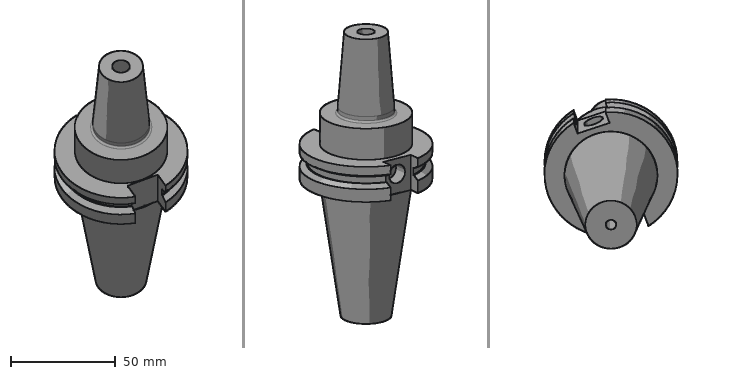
import cadquery as cq

taper_top = 68.5
flange_bottom = 69.5
flange_top = 87.4
shoulder_top = 103.3
collar_top = 106.3
overall_height = 144.5

taper_radius = 22.2
taper_ratio = 7 / 24
taper_end_radius = taper_radius - taper_top * taper_ratio / 2
neck_radius = 22.0

flange_radius = 31.8
groove_flank_radius = 28.6
groove_floor_radius = 28.0
groove_center = 79.5
groove_floor_width = 3.5
groove_mouth_width = 7.0

shoulder_radius = 22.1
collar_radius = 13.6
collar_fillet = 1.0
nose_end_radius = 10.5

tool_bore_radius = 4.2
tool_bore_depth = 36.1
coolant_bore_radius = 2.5

slot_width = 16.2
shallow_slot_floor = 25.0
deep_slot_floor = 22.5
pocket_diameter = 9.4
pocket_depth = 7.2


def make_body():
    """Revolve the outer profile about the Z axis."""
    half_floor = groove_floor_width / 2
    half_mouth = groove_mouth_width / 2
    profile = (
        cq.Workplane("XZ")
        .lineTo(taper_end_radius, 0)
        .lineTo(taper_radius, taper_top)
        .lineTo(neck_radius, flange_bottom)
        .lineTo(flange_radius, flange_bottom)
        .lineTo(flange_radius, groove_center - half_mouth)
        .lineTo(groove_flank_radius, groove_center - half_floor)
        .lineTo(groove_floor_radius, groove_center - half_floor)
        .lineTo(groove_floor_radius, groove_center + half_floor)
        .lineTo(groove_flank_radius, groove_center + half_floor)
        .lineTo(flange_radius, groove_center + half_mouth)
        .lineTo(flange_radius, flange_top)
        .lineTo(shoulder_radius, flange_top)
        .lineTo(shoulder_radius, shoulder_top)
        .lineTo(collar_radius + collar_fillet, shoulder_top)
        .radiusArc((collar_radius, shoulder_top + collar_fillet), collar_fillet)
        .lineTo(collar_radius, collar_top)
        .lineTo(nose_end_radius, overall_height)
        .lineTo(0, overall_height)
        .close()
    )
    return profile.revolve(360, (0, 0, 0), (0, 1, 0))


def make_bore():
    """Tool bore from the nose, continued by a narrower coolant hole."""
    coolant = cq.Workplane("XY").circle(coolant_bore_radius).extrude(overall_height)
    tool = (
        cq.Workplane("XY", origin=(0, 0, overall_height))
        .circle(tool_bore_radius)
        .extrude(-tool_bore_depth)
    )
    return coolant.union(tool)


def make_slot(floor, side):
    """Drive slot over the full flange height; side is -1 or +1 along X."""
    length = flange_radius
    return cq.Workplane("XY", origin=(side * (floor + length / 2), 0, flange_bottom)).box(
        length, slot_width, flange_top - flange_bottom, centered=(True, True, False)
    )


def make_pocket():
    """Blind round pocket in the floor of the shallow slot."""
    return (
        cq.Workplane("YZ", origin=(-shallow_slot_floor, 0, groove_center))
        .circle(pocket_diameter / 2)
        .extrude(pocket_depth)
    )


result = (
    make_body()
    .cut(make_bore())
    .cut(make_slot(shallow_slot_floor, -1))
    .cut(make_slot(deep_slot_floor, 1))
    .cut(make_pocket())
)